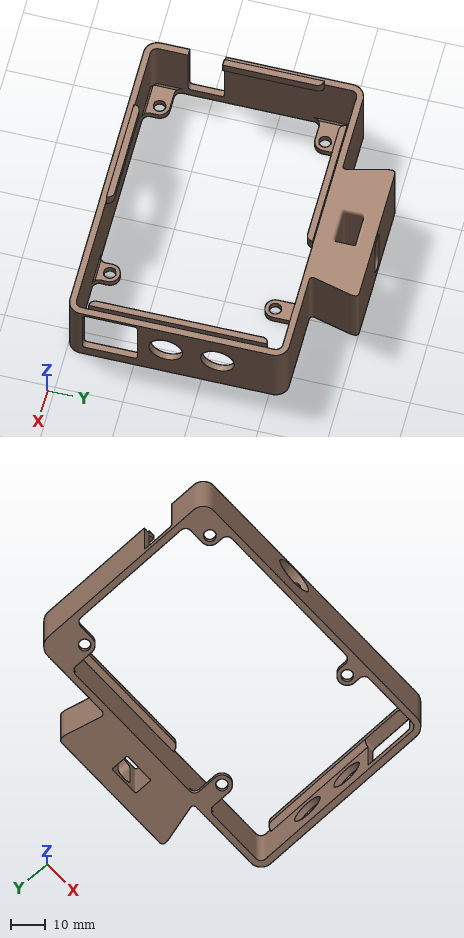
import cadquery as cq

frame_length = 94.0
frame_width = 65.0
rim_height = 21.6
end_wall = 2.1
side_wall = 2.0
inner_corner_radius = 2.0
outer_corner_radius = inner_corner_radius + end_wall
inner_length = frame_length - 2 * end_wall
inner_width = frame_width - 2 * side_wall
inner_x = inner_length / 2
inner_y = inner_width / 2

lip_depth = 2.0
lip_rise = 2.0
lip_drop = 2.0
lip_front_drop = lip_drop / 2
lip_end_radius = 1.9
lip_right_end = 8.2
back_lip_left_end = -32.1
front_lip_left_end = -23.9
left_lip_back_end = 20.5
right_lip_half_length = 26.4

lug_radius = 3.0
lug_thickness = 2.0
lug_hole_diameter = 3.6
lug_spacing_x = 58.0
lug_spacing_y = 49.0
lug_left_x = -38.1
lug_right_x = lug_left_x + lug_spacing_x
lug_front_y = -26.5
lug_back_y = lug_front_y + lug_spacing_y
root_flare = 2.0
root_rise = 0.5

tab_reach = 15.0
tab_half_width = 21.8
tab_neck_half_width = 18.5
tab_straight = 2.2
tab_corner_radius = 1.0
tab_root_radius = 1.0
tab_root_y = frame_width / 2
tab_back_y = tab_root_y + tab_reach
slot_length = 10.1
slot_width = 5.9
slot_y = 39.4
slot_corner_radius = 0.5
slot_rim_radius = 0.9
cross_slot_width = 5.1
cross_slot_height = 16.4

front_hole_diameter = 12.0
front_hole_x = -8.9
front_hole_z = 14.85
right_hole_diameter = 10.0
right_hole_back_y = 12.2
right_hole_spacing = 15.3
right_hole_z = 11.75
window_corner_radius = 1.0
left_window_front_y = -19.8
left_window_back_y = -9.1
left_window_sill = 3.0
right_window_front_y = -27.7
right_window_back_y = -11.5
right_window_sill = 3.7
right_window_top = rim_height - lip_front_drop

pick_margin = 0.1


def span_box(x_range, y_range, z_range):
    """Axis-aligned box between the given (low, high) limits."""
    size = [high - low for low, high in (x_range, y_range, z_range)]
    corner = (x_range[0], y_range[0], z_range[0])
    return cq.Workplane("XY").box(*size, centered=False).translate(corner)


def make_frame():
    inner = cq.Workplane("XY").rect(inner_length, inner_width).extrude(rim_height)
    outer = cq.Workplane("XY").rect(frame_length, frame_width).extrude(rim_height)
    inner = inner.edges("|Z").fillet(inner_corner_radius)
    return outer.edges("|Z").fillet(outer_corner_radius).cut(inner)


def make_tab():
    shoulder_y = tab_back_y - tab_straight
    tab = (
        cq.Workplane("XY")
        .moveTo(-tab_neck_half_width, tab_root_y - side_wall / 2)
        .lineTo(-tab_neck_half_width, tab_root_y)
        .lineTo(-tab_half_width, shoulder_y)
        .lineTo(-tab_half_width, tab_back_y)
        .lineTo(tab_half_width, tab_back_y)
        .lineTo(tab_half_width, shoulder_y)
        .lineTo(tab_neck_half_width, tab_root_y)
        .lineTo(tab_neck_half_width, tab_root_y - side_wall / 2)
        .close()
        .extrude(rim_height)
    )
    return tab.edges("|Z and >Y").fillet(tab_corner_radius)


def round_tab_roots(body):
    root_box = cq.selectors.BoxSelector(
        (-tab_half_width, tab_root_y - pick_margin, 0),
        (tab_half_width, tab_root_y + pick_margin, rim_height),
    )
    return body.edges("|Z").edges(root_box).fillet(tab_root_radius)


def cut_tab_openings(body):
    slot = cq.Workplane("XY").rect(slot_length, slot_width).extrude(rim_height)
    slot = slot.edges("|Z").fillet(slot_corner_radius).translate((0, slot_y, 0))
    slot_box = cq.selectors.BoxSelector(
        (-slot_length, slot_y - slot_width, rim_height - pick_margin),
        (slot_length, slot_y + slot_width, rim_height + pick_margin),
    )
    body = body.cut(slot).edges(slot_box).fillet(slot_rim_radius)
    cross_slot = (
        cq.Workplane("XZ", origin=(0, slot_y, rim_height / 2))
        .slot2D(cross_slot_height, cross_slot_width, 90)
        .extrude(-tab_reach)
    )
    return body.cut(cross_slot)


def make_lip(start, end, rounded_corners):
    """Lip along X with its back on Y = 0, growing toward -Y, rounded in plan and sloped underneath."""
    profile = [
        (0, -lip_drop),
        (-lip_depth, -lip_front_drop),
        (-lip_depth, lip_rise),
        (0, lip_rise),
    ]
    lip = cq.Workplane("YZ", origin=(start, 0, 0)).polyline(profile).close().extrude(end - start)
    outline = span_box((start, end), (-lip_depth, 0), (-lip_drop, lip_rise))
    outline = outline.edges(f"|Z and <Y and ({rounded_corners})").fillet(lip_end_radius)
    return lip.intersect(outline)


def place_lip(lip, angle, wall_x, wall_y):
    return lip.rotate((0, 0, 0), (0, 0, 1), angle).translate((wall_x, wall_y, rim_height))


def make_lips():
    both = "<X or >X"
    back = make_lip(back_lip_left_end, lip_right_end, both)
    front = make_lip(-lip_right_end, -front_lip_left_end, both)
    left = make_lip(left_window_back_y, left_lip_back_end, ">X")
    right = make_lip(-right_lip_half_length, right_lip_half_length, both)
    return [
        place_lip(back, 0, 0, inner_y),
        place_lip(front, 180, 0, -inner_y),
        place_lip(left, 90, -inner_x, 0),
        place_lip(right, -90, inner_x, 0),
    ]


def make_root(start, end, flared_ends):
    """Root of a lug on a wall at Y = 0, growing toward -Y, with a sloped top and concave flared ends."""
    root_top = lug_thickness + root_rise
    root = span_box((start, end), (-root_flare, 0), (0, root_top))
    for x, direction in flared_ends:
        flare = (
            cq.Workplane("XY")
            .moveTo(x, 0)
            .lineTo(x + direction * root_flare, 0)
            .radiusArc((x, -root_flare), -direction * root_flare)
            .close()
            .extrude(root_top)
        )
        root = root.union(flare)
    profile = [
        (0, 0),
        (-root_flare, 0),
        (-root_flare, lug_thickness),
        (-root_rise, lug_thickness),
        (0, root_top),
    ]
    slope = cq.Workplane("YZ", origin=(start - root_flare, 0, 0)).polyline(profile).close()
    return root.intersect(slope.extrude(end - start + 2 * root_flare))


def drill_lug(lug, x, y):
    hole = cq.Workplane("XY").center(x, y).circle(lug_hole_diameter / 2).extrude(lug_thickness)
    return lug.cut(hole)


def make_side_lug(reach):
    """Round-ended lug on a wall at Y = 0 with its hole at X = 0, Y = -reach."""
    lug = span_box((-lug_radius, lug_radius), (-reach, 0), (0, lug_thickness))
    lug = lug.union(cq.Workplane("XY").center(0, -reach).circle(lug_radius).extrude(lug_thickness))
    root = make_root(-lug_radius, lug_radius, [(-lug_radius, -1), (lug_radius, 1)])
    return drill_lug(lug.union(root), 0, -reach)


def make_corner_lug(reach_x, reach_y):
    """Lug filling the corner of the walls X = 0 and Y = 0, with its hole at (reach_x, -reach_y)."""
    length = reach_x + lug_radius
    width = reach_y + lug_radius
    lug = span_box((0, length), (-width, 0), (0, lug_thickness))
    lug = lug.edges("|Z and >X and <Y").fillet(lug_radius)
    back_root = make_root(0, length, [(length, 1)])
    left_root = make_root(-width, 0, [(-width, -1)]).rotate((0, 0, 0), (0, 0, 1), 90)
    return drill_lug(lug.union(back_root).union(left_root), reach_x, -reach_y)


def make_lugs():
    reach_x = lug_left_x + inner_x
    back_reach = inner_y - lug_back_y
    front_reach = inner_y + lug_front_y
    lugs = []
    for reach, is_front in ((back_reach, False), (front_reach, True)):
        side = make_side_lug(reach).translate((lug_right_x, inner_y, 0))
        corner = make_corner_lug(reach_x, reach).translate((-inner_x, inner_y, 0))
        for lug in (side, corner):
            lugs.append(lug.mirror("XZ") if is_front else lug)
    return lugs


def make_wall_openings():
    right_wall = cq.Workplane("YZ", origin=(inner_x, 0, right_hole_z))
    right_holes = right_wall.pushPoints(
        [(right_hole_back_y, 0), (right_hole_back_y - right_hole_spacing, 0)]
    )
    right_holes = right_holes.circle(right_hole_diameter / 2).extrude(end_wall)

    front_wall = cq.Workplane("XZ", origin=(front_hole_x, -frame_width / 2, front_hole_z))
    front_hole = front_wall.circle(front_hole_diameter / 2).extrude(-side_wall - lip_depth)

    right_window = span_box(
        (inner_x - lip_depth, frame_length / 2),
        (right_window_front_y, right_window_back_y),
        (right_window_sill, right_window_top),
    )
    right_window = right_window.edges("|X").fillet(window_corner_radius)

    left_window = span_box(
        (-frame_length / 2, -inner_x),
        (left_window_front_y, left_window_back_y),
        (left_window_sill, rim_height),
    )
    left_window = left_window.edges("|X and <Z").fillet(window_corner_radius)
    return [right_holes, front_hole, right_window, left_window]


result = make_frame().union(make_tab())
result = round_tab_roots(result)
result = cut_tab_openings(result)
for added in make_lips() + make_lugs():
    result = result.union(added)
for opening in make_wall_openings():
    result = result.cut(opening)